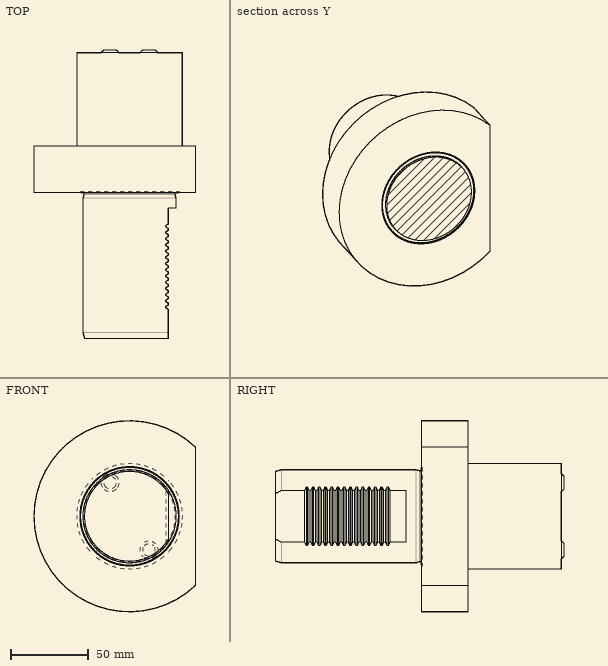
import cadquery as cq
import math

flange_diameter = 123.0
flange_length = 30.0
flange_flat_x = 42.5

seal_recess_diameter = 64.0
seal_ring_width = 2.1
seal_protrusion = 0.45

body_diameter = 68.0
body_length = 60.0

shank_diameter = 60.0
shank_length = 94.0
neck_diameter = 58.7
neck_length = 1.2
neck_taper_length = 2.4
tip_chamfer_length = 4.0
tip_chamfer_angle = 15.0

seal_radius = seal_ring_width / 2
seal_recess_depth = seal_radius - seal_protrusion

shank_flat_x = 25.0
shank_flat_start = 10.0
tooth_pitch = 4.0
tooth_gap_count = 14
tooth_gap_depth = 1.6
tooth_gap_mouth = 2.8
tooth_gap_floor = 0.8
first_tooth_gap = 21.7

nozzle_ball_diameter = 14.0
nozzle_height = 1.77
nozzle_top_diameter = 8.0
nozzle_circle_radius = 25.0
nozzle_angles = (120.0, 300.0)


def make_flange():
    disc = cq.Workplane("XZ").circle(flange_diameter / 2).extrude(-flange_length)
    beyond_flat = (
        cq.Workplane("XY")
        .box(flange_diameter, flange_length, flange_diameter, centered=(False, False, True))
        .translate((flange_flat_x, 0, 0))
    )
    return disc.cut(beyond_flat)


def make_seal_recess():
    return cq.Workplane("XZ").circle(seal_recess_diameter / 2).extrude(-seal_recess_depth)


def make_seal_ring():
    """Half-round bead on the recess floor, touching the neck."""
    return (
        cq.Workplane("XY")
        .moveTo(neck_diameter / 2, seal_recess_depth)
        .threePointArc(
            (neck_diameter / 2 + seal_radius, -seal_protrusion),
            (neck_diameter / 2 + seal_ring_width, seal_recess_depth),
        )
        .close()
        .revolve(360, (0, 0, 0), (0, 1, 0))
    )


def make_body():
    return (
        cq.Workplane("XZ", origin=(0, flange_length, 0))
        .circle(body_diameter / 2)
        .extrude(-body_length)
    )


def make_shank():
    """Turned shank: narrow neck, taper, full diameter and a chamfered tip."""
    radius = shank_diameter / 2
    neck_radius = neck_diameter / 2
    tip_radius = radius - tip_chamfer_length * math.tan(math.radians(tip_chamfer_angle))
    profile = [
        (0, flange_length),
        (neck_radius, flange_length),
        (neck_radius, -neck_length),
        (radius, -neck_length - neck_taper_length),
        (radius, tip_chamfer_length - shank_length),
        (tip_radius, -shank_length),
        (0, -shank_length),
    ]
    return cq.Workplane("XY").polyline(profile).close().revolve(360, (0, 0, 0), (0, 1, 0))


def make_shank_flat():
    return (
        cq.Workplane("XY")
        .box(shank_diameter, shank_length, shank_diameter, centered=(False, False, True))
        .translate((shank_flat_x, -shank_flat_start - shank_length, 0))
    )


def make_tooth_gap(y):
    gap = [
        (shank_flat_x, y - tooth_gap_mouth / 2),
        (shank_flat_x, y + tooth_gap_mouth / 2),
        (shank_flat_x - tooth_gap_depth, y + tooth_gap_floor / 2),
        (shank_flat_x - tooth_gap_depth, y - tooth_gap_floor / 2),
    ]
    return cq.Workplane("XY").polyline(gap).close().extrude(shank_diameter / 2, both=True)


def make_nozzle(angle):
    """Half ball sunk into the rear body, cut flat at the top."""
    ball_radius = nozzle_ball_diameter / 2
    top_above_center = math.sqrt(ball_radius**2 - (nozzle_top_diameter / 2) ** 2)
    rear_face = flange_length + body_length
    ball = (
        cq.Workplane("XY")
        .sphere(ball_radius)
        .intersect(
            cq.Workplane("XZ")
            .circle(ball_radius)
            .extrude(-top_above_center)
        )
    )
    return ball.translate(
        (
            nozzle_circle_radius * math.cos(math.radians(angle)),
            rear_face + nozzle_height - top_above_center,
            nozzle_circle_radius * math.sin(math.radians(angle)),
        )
    )


shank = make_shank().cut(make_shank_flat())
for index in range(tooth_gap_count):
    shank = shank.cut(make_tooth_gap(-first_tooth_gap - index * tooth_pitch))

result = make_flange().cut(make_seal_recess())
result = result.union(make_seal_ring()).union(make_body()).union(shank)
for nozzle_angle in nozzle_angles:
    result = result.union(make_nozzle(nozzle_angle))